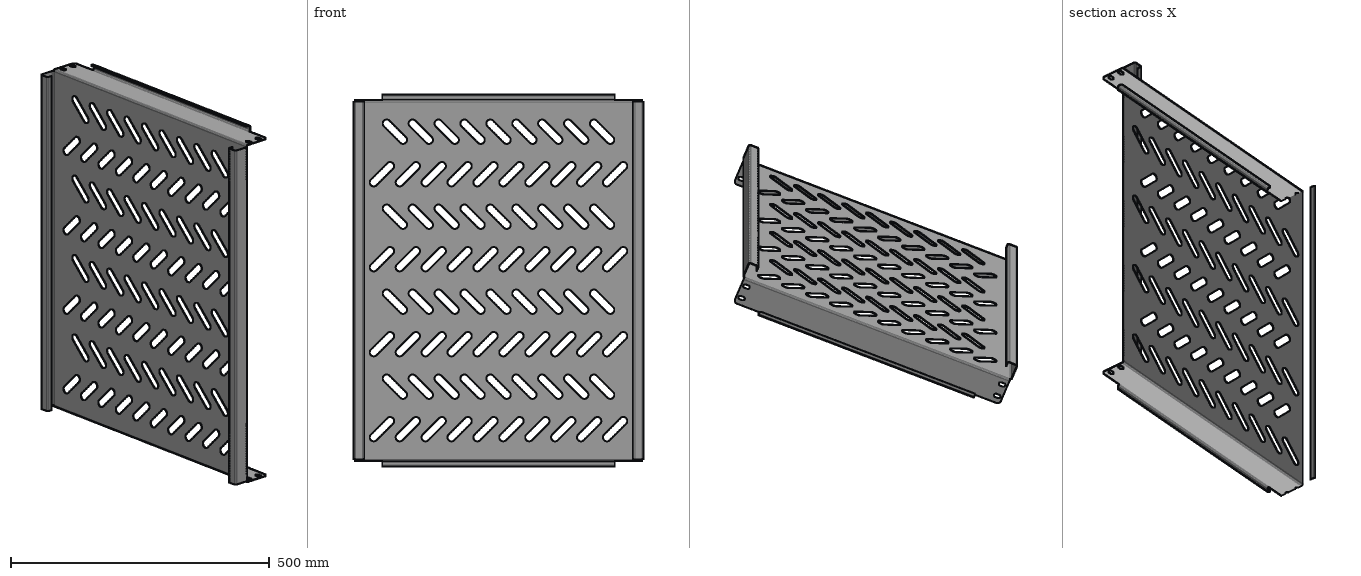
import cadquery as cq

WIDTH = 560.0
DEPTH = 90.0
HEIGHT = 720.0

SHEET = 1.5
BEND_OUTER = 3.5
BEND_MID = BEND_OUTER - SHEET / 2

PANEL_FRONT = -14.0
PANEL_HEIGHT = 698.0
PANEL_MID = PANEL_FRONT + SHEET / 2
CHANNEL_HEIGHT = PANEL_HEIGHT - 2 * BEND_OUTER

CHANNEL_WIDTH = 21.0
CHANNEL_LIP = 11.0

FLANGE_WIDTH = 554.5
FLANGE_CORNER = 7.0
FLANGE_BACK = DEPTH / 2 - BEND_OUTER

LIP_WIDTH = 449.0
HOOK_LENGTH = 9.0
HOOK_CORNER = 3.0

SLOT_WIDTH = 15.0
SLOT_LENGTH = 60.0
SLOT_ANGLE = 45
SLOT_PITCH = 50.05
ROW_PITCH = 82.0
ROW_COUNT = 8
LONG_ROW = 10
SHORT_ROW = 9

MOUNT_LENGTH = 13.0
MOUNT_WIDTH = 7.0
MOUNT_SPACING = 533.0
MOUNT_ROWS = (2.0, 27.0)


def sweep_sheet(path, start_plane, width):
    """Sweep the sheet thickness, of the given width, along a mid-thickness path."""
    return cq.Workplane(start_plane).rect(width, SHEET).sweep(path)


def make_panel():
    """Flat panel reaching to the start of the bends on all four sides."""
    flat_width = WIDTH - 2 * BEND_OUTER
    return cq.Workplane("XY", origin=(0, PANEL_MID, 0)).box(flat_width, SHEET, CHANNEL_HEIGHT)


def make_channel():
    """Side channel at +X: bend, side wall, front web and inward lip."""
    tangent_x = WIDTH / 2 - BEND_OUTER
    wall_x = WIDTH / 2 - SHEET / 2
    web_y = -DEPTH / 2 + SHEET / 2
    lip_x = WIDTH / 2 - CHANNEL_WIDTH + SHEET / 2
    path = (
        cq.Workplane("XY")
        .moveTo(tangent_x, PANEL_MID)
        .radiusArc((wall_x, PANEL_MID - BEND_MID), BEND_MID)
        .lineTo(wall_x, web_y + BEND_MID)
        .radiusArc((wall_x - BEND_MID, web_y), BEND_MID)
        .lineTo(lip_x + BEND_MID, web_y)
        .radiusArc((lip_x, web_y + BEND_MID), BEND_MID)
        .lineTo(lip_x, -DEPTH / 2 + CHANNEL_LIP)
    )
    start = cq.Plane(origin=(tangent_x, PANEL_MID, 0), xDir=(0, 0, 1), normal=(1, 0, 0))
    return sweep_sheet(path, start, CHANNEL_HEIGHT)


def make_flange():
    """Top flange with its bend, rounded free corners and mounting slots."""
    tangent_z = CHANNEL_HEIGHT / 2
    flange_z = PANEL_HEIGHT / 2 - SHEET / 2
    path = (
        cq.Workplane("YZ")
        .moveTo(PANEL_MID, tangent_z)
        .radiusArc((PANEL_MID + BEND_MID, flange_z), BEND_MID)
        .lineTo(FLANGE_BACK, flange_z)
    )
    start = cq.Plane(origin=(0, PANEL_MID, tangent_z), xDir=(1, 0, 0), normal=(0, 0, 1))
    flange = sweep_sheet(path, start, FLANGE_WIDTH)
    flange = flange.faces(">Y").edges("|Z").fillet(FLANGE_CORNER)
    positions = [(side * MOUNT_SPACING / 2, y) for side in (-1, 1) for y in MOUNT_ROWS]
    mounts = (
        cq.Workplane("XY", origin=(0, 0, flange_z - SHEET))
        .pushPoints(positions)
        .slot2D(MOUNT_LENGTH, MOUNT_WIDTH)
        .extrude(2 * SHEET)
    )
    return flange.cut(mounts)


def make_lip():
    """Lip behind the top flange: turned outward, then hooked forward."""
    flange_z = PANEL_HEIGHT / 2 - SHEET / 2
    wall_y = DEPTH / 2 - SHEET / 2
    hook_z = HEIGHT / 2 - SHEET / 2
    path = (
        cq.Workplane("YZ")
        .moveTo(FLANGE_BACK, flange_z)
        .radiusArc((wall_y, flange_z + BEND_MID), -BEND_MID)
        .lineTo(wall_y, hook_z - BEND_MID)
        .radiusArc((wall_y - BEND_MID, hook_z), -BEND_MID)
        .lineTo(DEPTH / 2 - HOOK_LENGTH, hook_z)
    )
    start = cq.Plane(origin=(0, FLANGE_BACK, flange_z), xDir=(1, 0, 0), normal=(0, 1, 0))
    lip = sweep_sheet(path, start, LIP_WIDTH)
    return lip.faces("<Y").edges("|Z").fillet(HOOK_CORNER)


def make_slots():
    """Rows of diagonal slots, leaning in alternate directions from row to row."""
    slots = cq.Workplane("XZ", origin=(0, PANEL_MID + SHEET, 0))
    for row in range(ROW_COUNT):
        z = (row - (ROW_COUNT - 1) / 2) * ROW_PITCH
        count = SHORT_ROW if row % 2 else LONG_ROW
        angle = -SLOT_ANGLE if row % 2 else SLOT_ANGLE
        positions = [((i - (count - 1) / 2) * SLOT_PITCH, z) for i in range(count)]
        slots = slots.pushPoints(positions).slot2D(SLOT_LENGTH, SLOT_WIDTH, angle).extrude(2 * SHEET)
    return slots


channel = make_channel()
flange = make_flange().union(make_lip())
result = (
    make_panel()
    .cut(make_slots())
    .union(channel)
    .union(channel.mirror("YZ"))
    .union(flange)
    .union(flange.mirror("XY"))
)